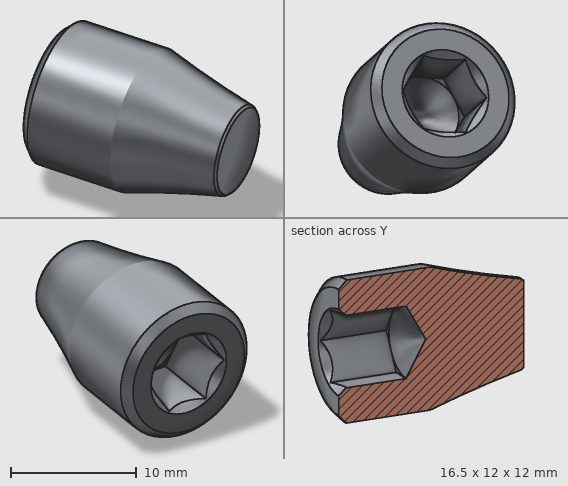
import cadquery as cq
import math

length = 16.5
body_radius = 12.0 / 2
rear_chamfer = 0.71
shoulder_x = 8.13
tip_edge_x = 16.29
tip_edge_radius = 3.81
tip_face_radius = 3.63
taper_sag = 0.1

hex_across_flats = 6.0
hex_corner_diameter = hex_across_flats / math.cos(math.pi / 6)
socket_depth = 6.0
countersink_radius = 3.6
countersink_angle = 40.0
drill_point_angle = 120.0


def make_body():
    """Chamfered cylinder with a slightly hollow taper and a chamfered tip."""
    taper_middle = (
        (shoulder_x + tip_edge_x) / 2,
        (body_radius + tip_edge_radius) / 2 - taper_sag,
    )
    profile = (
        cq.Workplane("XY")
        .lineTo(0, body_radius - rear_chamfer)
        .lineTo(rear_chamfer, body_radius)
        .lineTo(shoulder_x, body_radius)
        .threePointArc(taper_middle, (tip_edge_x, tip_edge_radius))
        .lineTo(length, tip_face_radius)
        .lineTo(length, 0)
        .close()
    )
    return profile.revolve(360, (0, 0, 0), (1, 0, 0))


def make_socket():
    """Hexagon with two corners along Y, a conical bottom and a countersunk mouth."""
    hexagon = cq.Workplane("YZ").polygon(6, hex_corner_diameter).extrude(socket_depth)

    drill_radius = hex_across_flats / 2
    point_depth = drill_radius / math.tan(math.radians(drill_point_angle / 2))
    drill_point = (
        cq.Workplane("XY")
        .moveTo(socket_depth, 0)
        .lineTo(socket_depth, drill_radius)
        .lineTo(socket_depth + point_depth, 0)
        .close()
        .revolve(360, (0, 0, 0), (1, 0, 0))
    )

    countersink_depth = countersink_radius / math.tan(math.radians(countersink_angle))
    countersink = (
        cq.Workplane("XY")
        .lineTo(0, countersink_radius)
        .lineTo(countersink_depth, 0)
        .close()
        .revolve(360, (0, 0, 0), (1, 0, 0))
    )
    return hexagon.union(drill_point).union(countersink)


result = make_body().cut(make_socket())